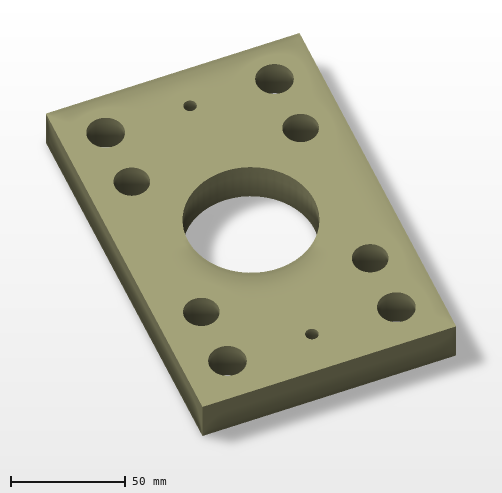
import cadquery as cq

length = 180.0
width = 120.0
thickness = 20.0

bore_diameter = 60.0
outer_hole_diameter = 17.0
inner_hole_diameter = 16.0
pin_hole_diameter = 6.0

outer_hole_x = 70.0
inner_hole_x = 40.0
hole_row_y = 40.0


def drill_rectangle(body, half_x, half_y, diameter):
    """Drill four through holes at the corners of a centred rectangle."""
    return (
        body.faces(">Z").workplane(origin=(0, 0, 0))
        .rect(2 * half_x, 2 * half_y, forConstruction=True)
        .vertices()
        .hole(diameter)
    )


plate = cq.Workplane("XY").box(length, width, thickness)

plate = plate.faces(">Z").workplane(origin=(0, 0, 0)).hole(bore_diameter)

plate = drill_rectangle(plate, outer_hole_x, hole_row_y, outer_hole_diameter)
plate = drill_rectangle(plate, inner_hole_x, hole_row_y, inner_hole_diameter)

plate = (
    plate.faces(">Z").workplane(origin=(0, 0, 0))
    .pushPoints([(-outer_hole_x, 0), (outer_hole_x, 0)])
    .hole(pin_hole_diameter)
)

result = plate